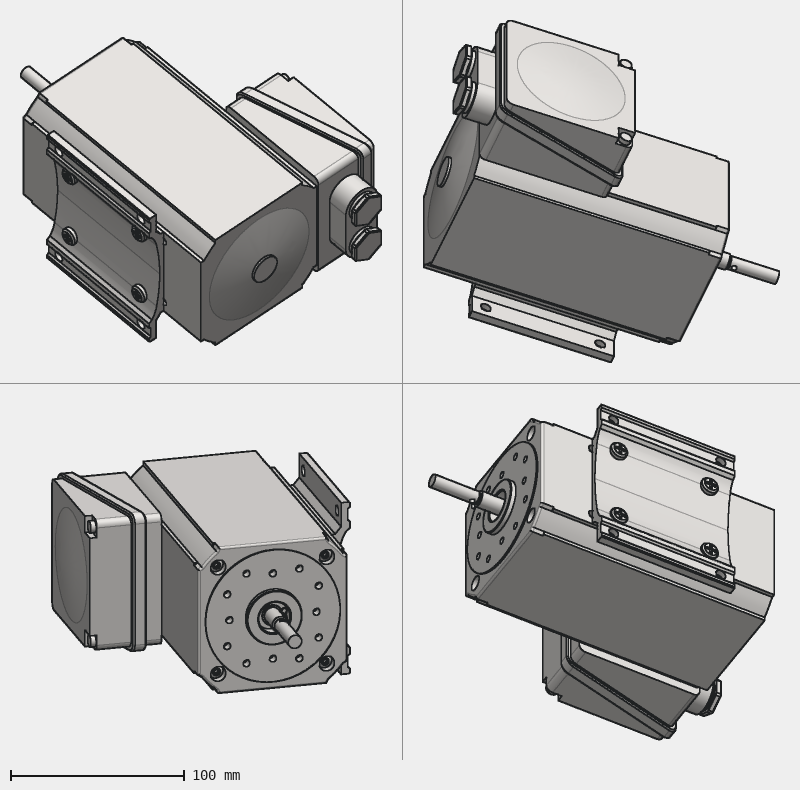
import cadquery as cq
import math


HALF_SIZE = 44.8
FLAT_HALF = 33.7
CORNER_RADIUS = 54.2
FRONT_FLAT_HALF = 32.3
FRONT_X = 47.0
FRONT_BELL_END_X = 55.0
REAR_X = 201.2
FRONT_FILLET = 1.3

FACE_DISC_RADIUS = 40.4
FACE_DISC_RISE = 1.0
COLLAR_RADIUS = 16.5
COLLAR_FRONT_X = 42.8
COLLAR_CHAMFER = 0.5
BORE_RADIUS = 9.4
BORE_CHAMFER = 0.7
BORE_DEPTH = 7.8
TAPPED_HOLE_RADIUS = 2.0
TAPPED_HOLE_DEPTH = 6.7
AXIS_HOLE_CIRCLE = 26.0
SIDE_HOLE_CIRCLE = 31.7
CORNER_SCREW_OFFSET = 32.5
CORNER_SCREW_RADIUS = 4.5
CORNER_BORE_DEPTH = 5.5
CORNER_HEAD_HEIGHT = 1.8
CORNER_HEAD_TOP_RADIUS = 2.2
CORNER_SOCKET_RADIUS = 1.3

SHAFT_RADIUS = 5.0
SHAFT_TIP_RADIUS = 4.0
SHAFT_NECK_RADIUS = 3.3
NECK_START_X = 29.5
NECK_END_X = 30.8
PIN_HOLE_X = 26.5
PIN_HOLE_RADIUS = 1.5
RING_RADIUS = 6.0
RING_THICKNESS = 1.1
RING_DEPTH = 4.5
RING_EAR_RADIUS = 1.5
RING_EAR_Y = -7.1
RING_EAR_Z = 2.0

REAR_DOME_RADIUS = 38.5
REAR_DOME_HEIGHT = 4.5
REAR_BUTTON_RADIUS = 9.0
REAR_BUTTON_X = 207.0

BOX_START_X = 123.0
BOX_END_X = 202.5
BOX_TOP_Y = 87.9
BOX_HALF_HEIGHT = 40.0
BOX_CORNER = 4.0
LID_DOME_RADIUS = 33.5
LID_DOME_HEIGHT = 2.7
NOTCH_LENGTH = 10.3
NOTCH_HEIGHT = 10.0
NOTCH_DEPTH = 4.2
NOTCH_SCREW_RADIUS = 3.5
NOTCH_SCREW_HEIGHT = 3.1

BAND_START_X = 120.2
BAND_END_X = 205.2
BAND_START_Y = 54.5
BAND_END_Y = 76.3
BAND_WIDTH = 8.0
BAND_OVERHANG = 2.5
BAND_CORNER = 5.4
BAND_CHAMFER = 1.0

GLAND_Y = 65.5
GLAND_Z = 15.0
GLAND_BLOCK_RADIUS = 12.0
GLAND_BLOCK_END_X = 216.5
GLAND_NECK_RADIUS = 9.4
GLAND_GROOVE_START_X = 218.8
GLAND_GROOVE_RADIUS = 8.7
GLAND_HEAD_START_X = 219.7
GLAND_HEAD_END_X = 223.0
GLAND_HEAD_FLATS = 20.5
GLAND_HEAD_RADIUS = 11.4
GLAND_HEAD_CHAMFER = 0.7

BRACKET_START_X = 80.7
BRACKET_LENGTH = 88.0
BRACKET_MIDDLE_X = BRACKET_START_X + BRACKET_LENGTH / 2
BRACKET_HALF_HEIGHT = 105.0 / 2
BRACKET_FRONT_Y = -56.0
BRACKET_RAIL_BACK_Y = -50.6
BRACKET_FACE_Y = -47.7
HOLLOW_RADIUS = 138.3
HOLLOW_ARC_END_Z = 25.9
RAIL_HOLE_SPACING = 71.0
RAIL_HOLE_Z = 44.8
RAIL_HOLE_RADIUS = 3.1
BRACKET_SCREW_SPACING = 60.0
BRACKET_SCREW_Z = 25.9
BRACKET_SCREW_RADIUS = 5.4
BRACKET_SCREW_TOP_Y = -52.9
BRACKET_SCREW_CHAMFER = 1.1
CROSS_LENGTH = 6.0
CROSS_WIDTH = 1.5
CROSS_DEPTH = 1.1

SIDE_HOLE_SPACING = 87.5
SIDE_HOLE_RADIUS = 2.7
SIDE_HOLE_DEPTH = 4.5


def disc(x_start, x_end, radius, y=0, z=0):
    """Cylinder along X."""
    return cq.Workplane("YZ", origin=(x_start, y, z)).circle(radius).extrude(x_end - x_start)


def cone(x_start, start_radius, length, end_radius, y=0, z=0):
    """Truncated cone along X."""
    return (
        cq.Workplane("YZ", origin=(x_start, y, z))
        .circle(start_radius)
        .workplane(offset=length)
        .circle(end_radius)
        .loft()
    )


def cap(base, radius, height):
    """Spherical cap whose axis is the local Y direction of the base plane."""
    return (
        cq.Workplane(base)
        .moveTo(0, 0)
        .lineTo(radius, 0)
        .threePointArc(cap_middle(radius, height), (0, height))
        .close()
        .revolve(360, (0, 0), (0, 1))
    )


def cap_middle(radius, height):
    """Point halfway along the half section of a spherical cap."""
    sphere_radius = (radius**2 + height**2) / (2 * height)
    half_angle = math.asin(radius / sphere_radius) / 2
    return (
        sphere_radius * math.sin(half_angle),
        height - sphere_radius * (1 - math.cos(half_angle)),
    )


def housing_section(x_start, x_end, flat_half):
    """Length of housing: four flat sides, each ending in a step down to a round corner."""
    shoulder = math.sqrt(CORNER_RADIUS**2 - FLAT_HALF**2)
    diagonal = CORNER_RADIUS / math.sqrt(2)
    outline = cq.Workplane("YZ", origin=(x_start, 0, 0)).moveTo(HALF_SIZE, flat_half)
    for quarter in range(4):
        cosine = round(math.cos(quarter * math.pi / 2))
        sine = round(math.sin(quarter * math.pi / 2))

        def turned(y, z):
            return (y * cosine - z * sine, y * sine + z * cosine)

        if quarter > 0:
            outline = outline.lineTo(*turned(HALF_SIZE, flat_half))
        outline = outline.lineTo(*turned(shoulder, FLAT_HALF))
        outline = outline.threePointArc(turned(diagonal, diagonal), turned(FLAT_HALF, shoulder))
        outline = outline.lineTo(*turned(flat_half, HALF_SIZE))
    return outline.close().extrude(x_end - x_start)


def make_housing():
    """Front end bell, main length and the domed rear cover."""
    front_bell = housing_section(FRONT_X, FRONT_BELL_END_X, FRONT_FLAT_HALF)
    front_bell = front_bell.faces("<X").edges().fillet(FRONT_FILLET)
    main = housing_section(FRONT_BELL_END_X, REAR_X, FLAT_HALF)
    dome_plane = cq.Plane((REAR_X, 0, 0), xDir=(0, 1, 0), normal=(0, 0, -1))
    dome = cap(dome_plane, REAR_DOME_RADIUS, REAR_DOME_HEIGHT)
    button = disc(REAR_X, REAR_BUTTON_X, REAR_BUTTON_RADIUS)
    return front_bell.union(main).union(dome).union(button)


def add_front_face(body):
    """Face disc and collar with its bore, the hole pattern and the corner screws."""
    disc_x = FRONT_X - FACE_DISC_RISE
    body = body.union(disc(disc_x, FRONT_BELL_END_X, FACE_DISC_RADIUS))
    collar = disc(COLLAR_FRONT_X, FRONT_X, COLLAR_RADIUS)
    body = body.union(collar.faces("<X").chamfer(COLLAR_CHAMFER))
    body = body.cut(disc(COLLAR_FRONT_X, COLLAR_FRONT_X + BORE_DEPTH, BORE_RADIUS))
    body = body.cut(cone(COLLAR_FRONT_X, BORE_RADIUS + BORE_CHAMFER, BORE_CHAMFER, BORE_RADIUS))
    for step in range(12):
        angle = step * math.pi / 6
        circle = AXIS_HOLE_CIRCLE if step % 3 == 0 else SIDE_HOLE_CIRCLE
        y = circle * math.cos(angle)
        z = circle * math.sin(angle)
        body = body.cut(disc(disc_x, disc_x + TAPPED_HOLE_DEPTH, TAPPED_HOLE_RADIUS, y, z))
    for y in (-CORNER_SCREW_OFFSET, CORNER_SCREW_OFFSET):
        for z in (-CORNER_SCREW_OFFSET, CORNER_SCREW_OFFSET):
            body = add_corner_screw(body, y, z)
    return body


def add_corner_screw(body, y, z):
    """Counterbore with a tapered screw head and its socket at the bottom."""
    floor_x = FRONT_X + CORNER_BORE_DEPTH
    head_x = floor_x - CORNER_HEAD_HEIGHT
    head = cone(head_x, CORNER_HEAD_TOP_RADIUS, CORNER_HEAD_HEIGHT, CORNER_SCREW_RADIUS, y, z)
    head = head.cut(disc(head_x, floor_x, CORNER_SOCKET_RADIUS, y, z))
    return body.cut(disc(FRONT_X, floor_x, CORNER_SCREW_RADIUS, y, z)).union(head)


def make_shaft():
    """Stepped shaft with a neck and a cross hole, and the retaining ring with its two ears."""
    shaft = disc(0, NECK_START_X, SHAFT_TIP_RADIUS)
    shaft = shaft.union(disc(NECK_START_X, NECK_END_X, SHAFT_NECK_RADIUS))
    shaft = shaft.union(disc(NECK_END_X, COLLAR_FRONT_X + BORE_DEPTH, SHAFT_RADIUS))
    pin_hole = (
        cq.Workplane("XY")
        .center(PIN_HOLE_X, 0)
        .circle(PIN_HOLE_RADIUS)
        .extrude(SHAFT_RADIUS, both=True)
    )
    shaft = shaft.cut(pin_hole)
    ring_x = COLLAR_FRONT_X + RING_DEPTH
    ring_end_x = ring_x + RING_THICKNESS
    shaft = shaft.union(disc(ring_x, ring_end_x, RING_RADIUS))
    for z in (-RING_EAR_Z, RING_EAR_Z):
        shaft = shaft.union(disc(ring_x, ring_end_x, RING_EAR_RADIUS, RING_EAR_Y, z))
    return shaft


def make_terminal_box():
    """Box with rounded upright edges, a domed lid and two corner notches holding screws."""
    box = (
        cq.Workplane("XY")
        .box(
            BOX_END_X - BOX_START_X,
            BOX_TOP_Y - HALF_SIZE,
            2 * BOX_HALF_HEIGHT,
        )
        .edges("|Y")
        .fillet(BOX_CORNER)
        .translate(((BOX_START_X + BOX_END_X) / 2, (BOX_TOP_Y + HALF_SIZE) / 2, 0))
    )
    for side in (-1, 1):
        notch_z = side * (BOX_HALF_HEIGHT - NOTCH_HEIGHT / 2)
        notch = cq.Workplane("XY").box(NOTCH_LENGTH, 2 * NOTCH_DEPTH, NOTCH_HEIGHT)
        notch_x = BOX_START_X + NOTCH_LENGTH / 2
        box = box.cut(notch.translate((notch_x, BOX_TOP_Y, notch_z)))
        screw = (
            cq.Workplane("XZ", origin=(notch_x, BOX_TOP_Y - NOTCH_DEPTH, notch_z))
            .circle(NOTCH_SCREW_RADIUS)
            .extrude(-NOTCH_SCREW_HEIGHT)
        )
        box = box.union(screw)
    dome_plane = cq.Plane(((BOX_START_X + BOX_END_X) / 2, BOX_TOP_Y, 0), normal=(0, 0, 1))
    return box.union(cap(dome_plane, LID_DOME_RADIUS, LID_DOME_HEIGHT))


def make_band():
    """Sloping band that stands out all round the terminal box."""
    half_height = BOX_HALF_HEIGHT + BAND_OVERHANG
    band = (
        cq.Workplane("XY", origin=(0, 0, -half_height))
        .moveTo(BAND_START_X, BAND_START_Y)
        .lineTo(BAND_END_X, BAND_END_Y)
        .lineTo(BAND_END_X, BAND_END_Y + BAND_WIDTH)
        .lineTo(BAND_START_X, BAND_START_Y + BAND_WIDTH)
        .close()
        .extrude(2 * half_height)
    )
    band = band.edges("|Y").fillet(BAND_CORNER)
    return band.faces("<Y or >Y").edges().chamfer(BAND_CHAMFER)


def make_glands():
    """Block with round ends that carries two cable glands."""
    block = (
        cq.Workplane("YZ", origin=(BOX_END_X, GLAND_Y, 0))
        .slot2D(2 * (GLAND_Z + GLAND_BLOCK_RADIUS), 2 * GLAND_BLOCK_RADIUS, 90)
        .extrude(GLAND_BLOCK_END_X - BOX_END_X)
    )
    for z in (-GLAND_Z, GLAND_Z):
        neck = disc(GLAND_BLOCK_END_X, GLAND_GROOVE_START_X, GLAND_NECK_RADIUS, GLAND_Y, z)
        groove = disc(GLAND_GROOVE_START_X, GLAND_HEAD_START_X, GLAND_GROOVE_RADIUS, GLAND_Y, z)
        hexagon = (
            cq.Workplane("YZ", origin=(GLAND_HEAD_START_X, GLAND_Y, z))
            .polygon(6, GLAND_HEAD_FLATS, circumscribed=True)
            .extrude(GLAND_HEAD_END_X - GLAND_HEAD_START_X)
            .faces(">X")
            .chamfer(GLAND_HEAD_CHAMFER)
        )
        rounding = disc(GLAND_HEAD_START_X, GLAND_HEAD_END_X, GLAND_HEAD_RADIUS, GLAND_Y, z)
        block = block.union(neck).union(groove).union(hexagon.intersect(rounding))
    return block


def cut_side_holes(body):
    """Blind holes in the -Y side of the housing."""
    holes = (
        cq.Workplane("XZ", origin=(BRACKET_MIDDLE_X, -HALF_SIZE, 0))
        .rarray(SIDE_HOLE_SPACING, 2 * BRACKET_SCREW_Z, 2, 2)
        .circle(SIDE_HOLE_RADIUS)
        .extrude(-SIDE_HOLE_DEPTH)
    )
    return body.cut(holes)


def make_motor():
    """Motor with its shaft and terminal box."""
    motor = add_front_face(make_housing())
    motor = motor.union(make_shaft())
    motor = motor.union(make_terminal_box()).union(make_band()).union(make_glands())
    return cut_side_holes(motor)


def bracket_plate():
    """Bracket section, mirrored about mid height: hollow face between two grooved rails."""
    hollow_rim = (-53.8, 34.8)
    upper_front = [
        (BRACKET_FRONT_Y, 36.5),
        (BRACKET_FRONT_Y, 40.4),
        (-54.6, 41.5),
        (-54.6, 48.5),
        (BRACKET_FRONT_Y, 49.5),
        (BRACKET_FRONT_Y, BRACKET_HALF_HEIGHT - 0.7),
        (BRACKET_FRONT_Y + 0.7, BRACKET_HALF_HEIGHT),
    ]
    upper_back = [
        (BRACKET_RAIL_BACK_Y, BRACKET_HALF_HEIGHT),
        (BRACKET_RAIL_BACK_Y, 38.0),
        (-47.0, 33.7),
        (-HALF_SIZE, 33.7),
    ]
    hollow_sag = HOLLOW_ARC_END_Z**2 / (2 * HOLLOW_RADIUS)
    hollow_middle = (BRACKET_FACE_Y - hollow_sag / 4, HOLLOW_ARC_END_Z / 2)
    hollow_end = (BRACKET_FACE_Y - hollow_sag, HOLLOW_ARC_END_Z)
    upper_half = (
        cq.Workplane("YZ", origin=(BRACKET_START_X, 0, 0))
        .moveTo(BRACKET_FACE_Y, 0)
        .threePointArc(hollow_middle, hollow_end)
        .tangentArcPoint(hollow_rim, relative=False)
        .polyline([*upper_front, *upper_back, (-HALF_SIZE, 0)], includeCurrent=True)
        .close()
        .extrude(BRACKET_LENGTH)
    )
    return upper_half.union(upper_half.mirror("XY"))


def bracket_screws():
    """Four round screw heads with cross recesses."""
    heads = (
        cq.Workplane("XZ", origin=(BRACKET_MIDDLE_X, BRACKET_FACE_Y, 0))
        .rarray(BRACKET_SCREW_SPACING, 2 * BRACKET_SCREW_Z, 2, 2)
        .circle(BRACKET_SCREW_RADIUS)
        .extrude(BRACKET_FACE_Y - BRACKET_SCREW_TOP_Y)
        .faces("<Y")
        .edges()
        .chamfer(BRACKET_SCREW_CHAMFER)
    )
    for length, height in ((CROSS_LENGTH, CROSS_WIDTH), (CROSS_WIDTH, CROSS_LENGTH)):
        slots = (
            cq.Workplane("XZ", origin=(BRACKET_MIDDLE_X, BRACKET_SCREW_TOP_Y, 0))
            .rarray(BRACKET_SCREW_SPACING, 2 * BRACKET_SCREW_Z, 2, 2)
            .rect(length, height)
            .extrude(-CROSS_DEPTH)
        )
        heads = heads.cut(slots)
    return heads


def make_bracket():
    """Mounting bracket with its rail holes and screw heads."""
    rail_holes = (
        cq.Workplane("XZ", origin=(BRACKET_MIDDLE_X, BRACKET_RAIL_BACK_Y, 0))
        .rarray(RAIL_HOLE_SPACING, 2 * RAIL_HOLE_Z, 2, 2)
        .circle(RAIL_HOLE_RADIUS)
        .extrude(BRACKET_RAIL_BACK_Y - BRACKET_FRONT_Y)
    )
    return bracket_plate().cut(rail_holes).union(bracket_screws())


motor = make_motor()
bracket = make_bracket()
result = cq.Compound.makeCompound([motor.val(), bracket.val()])